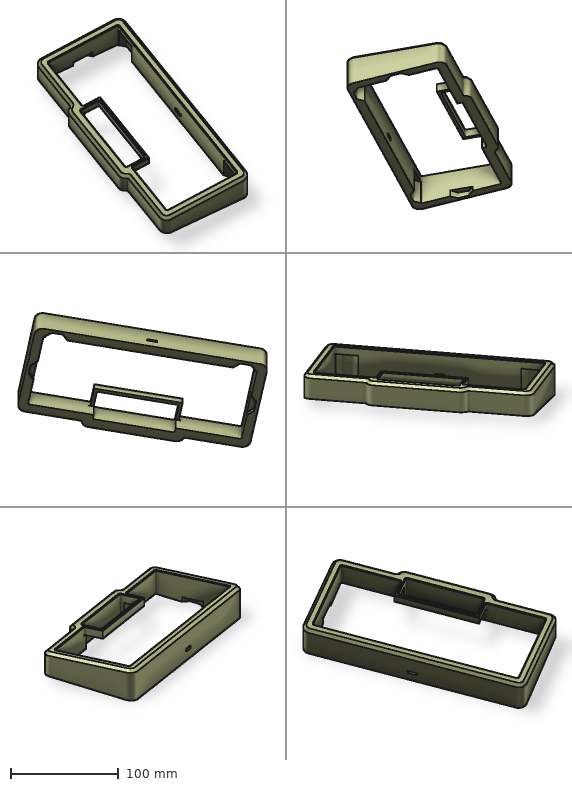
import cadquery as cq
import math

length = 220.0
total_depth = 101.9
height = 32.0
bottom_slope = 5.0

bump_depth = 5.7
bump_half_width = 48.8
corner_radius = 8.0
bump_blend_radius = 2.0
top_chamfer = 3.0

wall = 9.0
opening_corner_radius = 1.5
rim_chamfer = 0.77

window_half_width = 38.7
window_front_wall = 10.0
window_depth = 21.0
window_rim = 3.0
window_rim_height = 8.8

recess_width = 22.0
recess_depth = 5.7
recess_flank_radius = 2.9
back_recess_inset = 21.0
back_recess_ceiling = height - 7.7
side_recess_ceiling = height - 22.0
side_recess_offset = 48.2

slot_length = 9.7
slot_height = 2.9
slot_mouth_height = 3.3
slot_mouth_depth = 1.0
slot_z = 10.5

pick_margin = 0.2

half_length = length / 2
back_y = total_depth / 2
bump_y = -back_y
front_y = bump_y + bump_depth
opening_half_length = half_length - wall
opening_back_y = back_y - wall
opening_front_y = front_y + wall
window_front_y = bump_y + window_front_wall
window_back_y = window_front_y + window_depth


def box(x_min, x_max, y_min, y_max, z_min, z_max):
    """Axis-aligned block between the given limits."""
    return (
        cq.Workplane("XY", origin=(0, 0, z_min))
        .moveTo((x_min + x_max) / 2, (y_min + y_max) / 2)
        .rect(x_max - x_min, y_max - y_min)
        .extrude(z_max - z_min)
    )


def arc_point(center, radius, degrees):
    """Point on a circle, with the angle counted from +X."""
    angle = math.radians(degrees)
    return (center[0] + radius * math.cos(angle), center[1] + radius * math.sin(angle))


def outer_body():
    """Solid block with the bumped outline, chamfered on top."""
    radii = corner_radius + bump_blend_radius
    turn = math.degrees(math.acos(1 - bump_depth / radii))
    convex = (bump_half_width - corner_radius, bump_y + corner_radius)
    blend = (convex[0] + radii * math.sin(math.radians(turn)), front_y - bump_blend_radius)
    corner_front = (half_length - corner_radius, front_y + corner_radius)
    corner_back = (half_length - corner_radius, back_y - corner_radius)
    right_half = (
        cq.Workplane("XY")
        .moveTo(0, bump_y)
        .lineTo(convex[0], bump_y)
        .threePointArc(
            arc_point(convex, corner_radius, -90 + turn / 2),
            arc_point(convex, corner_radius, -90 + turn),
        )
        .threePointArc(
            arc_point(blend, bump_blend_radius, 90 + turn / 2),
            (blend[0], front_y),
        )
        .lineTo(corner_front[0], front_y)
        .threePointArc(arc_point(corner_front, corner_radius, -45), (half_length, corner_front[1]))
        .lineTo(half_length, corner_back[1])
        .threePointArc(arc_point(corner_back, corner_radius, 45), (corner_back[0], back_y))
        .lineTo(0, back_y)
    )
    return right_half.mirrorY().extrude(height).faces(">Z").chamfer(top_chamfer)


def main_opening():
    """Through opening with small corner rounds, notched around the window rim."""
    rim_half_width = window_half_width + window_rim
    rim_back_y = window_back_y + window_rim
    opening = box(-opening_half_length, opening_half_length, opening_front_y, opening_back_y, 0, height)
    rim = box(-rim_half_width, rim_half_width, bump_y, rim_back_y, height - window_rim_height, height)
    opening = opening.edges("|Z").fillet(opening_corner_radius).cut(rim)
    inner_corners = cq.selectors.BoxSelector(
        (-rim_half_width - pick_margin, opening_front_y - pick_margin, height - window_rim_height),
        (rim_half_width + pick_margin, opening_front_y + pick_margin, height),
    )
    return opening.edges("|Z").edges(inner_corners).fillet(opening_corner_radius)


def window_opening():
    """Through opening of the display window."""
    window = box(-window_half_width, window_half_width, window_front_y, window_back_y, 0, height)
    return window.edges("|Z").fillet(opening_corner_radius)


def recess(ceiling):
    """Trapezoidal pocket centred on x = 0 that enters the half space y > 0."""
    half = recess_width / 2
    pocket = (
        cq.Workplane("XY")
        .polyline([
            (-half, 0),
            (half, 0),
            (half - recess_depth, recess_depth),
            (-half + recess_depth, recess_depth),
        ])
        .close()
        .extrude(ceiling)
    )
    return pocket.edges("|Z and >Y").fillet(recess_flank_radius)


def cable_slot():
    """Through slot with a slightly larger mouth on the inner side of the back wall."""
    through = cq.Workplane("XZ", origin=(0, back_y, slot_z)).slot2D(slot_length, slot_height).extrude(wall)
    mouth_growth = slot_mouth_height - slot_height
    mouth = (
        cq.Workplane("XZ", origin=(0, opening_back_y + slot_mouth_depth, slot_z))
        .slot2D(slot_length + mouth_growth, slot_mouth_height)
        .extrude(slot_mouth_depth)
    )
    return through.union(mouth)


def underside_wedge():
    """Everything below the sloped underside."""
    rise = total_depth * math.tan(math.radians(bottom_slope))
    return (
        cq.Workplane("YZ")
        .polyline([(back_y, 0), (bump_y, rise), (bump_y, 0)])
        .close()
        .extrude(half_length, both=True)
    )


result = outer_body().cut(main_opening()).cut(window_opening())

top_rims = cq.selectors.BoxSelector(
    (-opening_half_length - pick_margin, window_front_y - pick_margin, height - pick_margin),
    (opening_half_length + pick_margin, opening_back_y + pick_margin, height + pick_margin),
    boundingbox=True,
)
result = result.edges(top_rims).chamfer(rim_chamfer)

for side in (-1, 1):
    back_x = side * (half_length - back_recess_inset)
    result = result.cut(recess(back_recess_ceiling).translate((back_x, opening_back_y, 0)))
    side_recess = recess(side_recess_ceiling).rotate((0, 0, 0), (0, 0, 1), -90 * side)
    side_y = back_y - side_recess_offset
    result = result.cut(side_recess.translate((side * opening_half_length, side_y, 0)))

result = result.cut(cable_slot()).cut(underside_wedge())